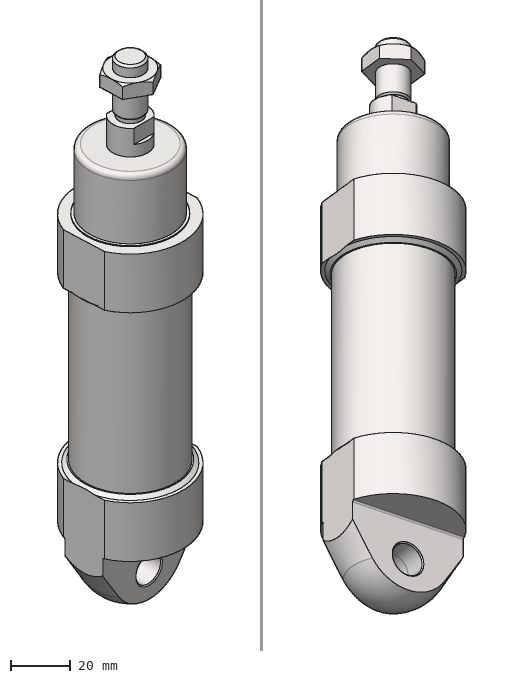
import cadquery as cq
import math

TOTAL_HEIGHT = 217.5

COLLAR_DIAMETER = 49.0
FLAT_WIDTH = 45.0
LOWER_COLLAR_BOTTOM = 29.5
COLLAR_HEIGHT = 23.7
UPPER_COLLAR_BOTTOM = 130.1
TUBE_DIAMETER = 41.5
SHOULDER_BASE_DIAMETER = 46.1
SHOULDER_DIAMETER = 42.6
SHOULDER_HEIGHT = 1.3
HEAD_DIAMETER = 37.9
HEAD_TOP = 182.1
HEAD_FILLET = 2.2
HEAD_STEP_DIAMETER = 40.0
HEAD_STEP_HEIGHT = 0.5

LUG_THICKNESS = 17.6
LUG_TIP_RADIUS = 19.5
LUG_CONE_ANGLE = 60.0
EYE_DIAMETER = 12.0
EYE_CHAMFER = 0.5
EYE_HEIGHT = 14.1
LUG_ROOT_FILLET = 0.7

ROD_DIAMETER = 16.0
ROD_SHOULDER = 193.7
WRENCH_WIDTH = 12.8
WRENCH_LENGTH = 6.5
NECK_DIAMETER = 10.2
THREAD_ROOT_DIAMETER = 10.7
NECK_LENGTH = 1.7
THREAD_DIAMETER = 12.0
TIP_DIAMETER = 10.2

NUT_WIDTH = 18.5
NUT_BOTTOM = 207.0
NUT_HEIGHT = 5.9
NUT_CHAMFER_ANGLE = 30.0

lower_collar_top = LOWER_COLLAR_BOTTOM + COLLAR_HEIGHT
upper_collar_top = UPPER_COLLAR_BOTTOM + COLLAR_HEIGHT


def cylinder(diameter, bottom, top):
    return cq.Workplane("XY").workplane(offset=bottom).circle(diameter / 2).extrude(top - bottom)


def cone(bottom_diameter, bottom, top_diameter, top):
    return cq.Workplane(
        cq.Solid.makeCone(bottom_diameter / 2, top_diameter / 2, top - bottom, pnt=cq.Vector(0, 0, bottom))
    )


def trim_to_flats(body):
    """Trim a body to the flats on the -Y and +Y sides."""
    return body.intersect(cq.Workplane("XY").rect(COLLAR_DIAMETER, FLAT_WIDTH).extrude(TOTAL_HEIGHT))


def make_collar(bottom):
    """Round collar with two flats."""
    return trim_to_flats(cylinder(COLLAR_DIAMETER, bottom, bottom + COLLAR_HEIGHT))


def make_lug():
    """Flat tongue whose end is turned to a cone with a tangent spherical tip."""
    angle = math.radians(LUG_CONE_ANGLE)
    tangent_radius = LUG_TIP_RADIUS * math.sin(angle)
    tangent_height = LUG_TIP_RADIUS * (1 - math.cos(angle))
    mid_angle = angle / 2
    mid_point = (LUG_TIP_RADIUS * math.sin(mid_angle), LUG_TIP_RADIUS * (1 - math.cos(mid_angle)))
    outer_radius = COLLAR_DIAMETER / 2
    cone_end_height = tangent_height + (outer_radius - tangent_radius) * math.tan(angle)
    turned_end = (
        cq.Workplane("XZ")
        .moveTo(0, 0)
        .threePointArc(mid_point, (tangent_radius, tangent_height))
        .lineTo(outer_radius, cone_end_height)
        .lineTo(outer_radius, LOWER_COLLAR_BOTTOM)
        .lineTo(0, LOWER_COLLAR_BOTTOM)
        .close()
        .revolve(360, (0, 0), (0, 1))
    )
    tongue = cq.Workplane("XY").rect(LUG_THICKNESS, FLAT_WIDTH).extrude(LOWER_COLLAR_BOTTOM)
    return tongue.intersect(turned_end)


def cut_eye(body):
    """Bore the eye through the lug along X and chamfer both rims."""
    eye = cq.Workplane("YZ").center(0, EYE_HEIGHT).circle(EYE_DIAMETER / 2).extrude(LUG_THICKNESS, both=True)
    rim_radius = EYE_DIAMETER / 2 + EYE_CHAMFER
    body = body.cut(eye)
    for side in (-1, 1):
        rim = cq.Solid.makeCone(
            rim_radius,
            EYE_DIAMETER / 2,
            EYE_CHAMFER,
            pnt=cq.Vector(side * LUG_THICKNESS / 2, 0, EYE_HEIGHT),
            dir=cq.Vector(-side, 0, 0),
        )
        body = body.cut(cq.Workplane(rim))
    return body


def make_base():
    """Lower collar and lug, with filleted roots where the lug faces meet the collar."""
    base = make_collar(LOWER_COLLAR_BOTTOM).union(make_lug())
    roots = base.edges(
        cq.selectors.BoxSelector(
            (-LUG_THICKNESS, -FLAT_WIDTH, LOWER_COLLAR_BOTTOM - LUG_ROOT_FILLET),
            (LUG_THICKNESS, FLAT_WIDTH, LOWER_COLLAR_BOTTOM + LUG_ROOT_FILLET),
        )
    ).edges("|Y")
    return cut_eye(roots.fillet(LUG_ROOT_FILLET))


def make_housing():
    """Lug, two collars, tube and head as one solid."""
    lower_shoulder = trim_to_flats(
        cone(SHOULDER_BASE_DIAMETER, lower_collar_top, SHOULDER_DIAMETER, lower_collar_top + SHOULDER_HEIGHT)
    )
    upper_shoulder_bottom = UPPER_COLLAR_BOTTOM - SHOULDER_HEIGHT
    upper_shoulder = trim_to_flats(
        cone(SHOULDER_DIAMETER, upper_shoulder_bottom, SHOULDER_BASE_DIAMETER, UPPER_COLLAR_BOTTOM)
    )
    tube = cylinder(TUBE_DIAMETER, lower_collar_top, UPPER_COLLAR_BOTTOM)
    head_step = cylinder(HEAD_STEP_DIAMETER, upper_collar_top, upper_collar_top + HEAD_STEP_HEIGHT)
    head = cylinder(HEAD_DIAMETER, upper_collar_top, HEAD_TOP).faces(">Z").edges().fillet(HEAD_FILLET)
    return (
        make_base()
        .union(lower_shoulder)
        .union(tube)
        .union(upper_shoulder)
        .union(make_collar(UPPER_COLLAR_BOTTOM))
        .union(head_step)
        .union(head)
    )


def make_rod():
    """Rod standing on the head, with wrench flats, an undercut neck and a chamfered thread."""
    thread_bottom = ROD_SHOULDER + NECK_LENGTH
    tip_chamfer = (THREAD_DIAMETER - TIP_DIAMETER) / 2
    root_chamfer = (THREAD_DIAMETER - THREAD_ROOT_DIAMETER) / 2
    thread = (
        cylinder(THREAD_DIAMETER, thread_bottom, TOTAL_HEIGHT)
        .faces(">Z").chamfer(tip_chamfer)
        .faces("<Z").chamfer(root_chamfer)
    )
    flat_bottom = ROD_SHOULDER - WRENCH_LENGTH
    wrench_flats = (
        cq.Workplane("XY")
        .workplane(offset=flat_bottom)
        .rect(WRENCH_WIDTH, ROD_DIAMETER)
        .extrude(WRENCH_LENGTH)
        .intersect(cylinder(ROD_DIAMETER, flat_bottom, ROD_SHOULDER))
    )
    return (
        cylinder(ROD_DIAMETER, HEAD_TOP, flat_bottom)
        .union(wrench_flats)
        .union(cylinder(NECK_DIAMETER, ROD_SHOULDER, thread_bottom))
        .union(thread)
    )


def make_nut():
    """Hexagon nut with corners on the X axis, its top corners turned off by a cone."""
    corner_diameter = NUT_WIDTH / math.cos(math.radians(30))
    nut_top = NUT_BOTTOM + NUT_HEIGHT
    hexagon = cq.Workplane("XY").workplane(offset=NUT_BOTTOM).polygon(6, corner_diameter).extrude(NUT_HEIGHT)
    cone_base_diameter = NUT_WIDTH + 2 * NUT_HEIGHT / math.tan(math.radians(NUT_CHAMFER_ANGLE))
    turned_blank = cone(cone_base_diameter, NUT_BOTTOM, NUT_WIDTH, nut_top)
    bore = cylinder(THREAD_DIAMETER, NUT_BOTTOM, nut_top)
    return hexagon.intersect(turned_blank).cut(bore)


housing = make_housing()
rod = make_rod()
nut = make_nut()

result = cq.Compound.makeCompound([housing.val(), rod.val(), nut.val()])